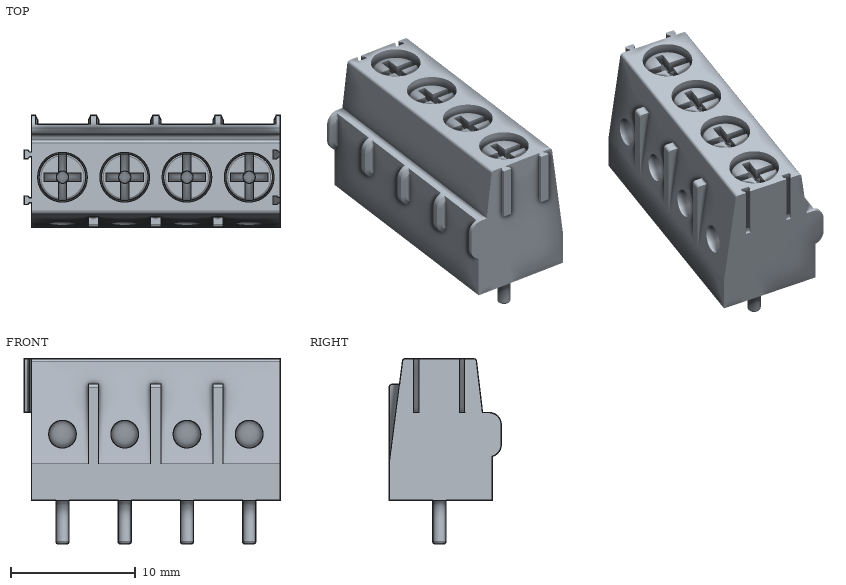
import cadquery as cq


terminal_count = 4
pitch = 5.0
body_length = terminal_count * pitch
body_depth = 8.29
body_height = 11.4
terminal_xs = [(i + 0.5) * pitch for i in range(terminal_count)]
terminal_y = 4.03
boundary_xs = [i * pitch for i in range(terminal_count + 1)]

front_slope_z = 2.96
front_lean = 1.1
shoulder_z = 7.08
shoulder_y = 7.5
top_rear_y = 7.0
top_edge_radius = 0.25

bulge_bottom_z = 3.5
bulge_radius = 1.0
tab_end_y = 9.0
tab_root_y = body_depth - 2 * bulge_radius
tab_width = 0.85
end_tab_width = 0.51
tab_bevel_side = 0.19
tab_bevel_depth = 0.4

rib_width = 0.82
rib_top_z = 9.34
rib_edge_radius = 0.25
rib_root_y = front_lean

wire_radius = 1.11
wire_z = 5.33
wire_floor_y = 1.32

well_radius = 2.0
well_depth = 2.0
head_radius = 1.87
head_edge_radius = 0.15
head_recess = 0.65
cross_width = 0.68
cross_depth = 1.0
cross_short_length = 2.98
cross_centre_radius = 0.5
cross_centre_drop = 0.1

dovetail_ys = (2.18, 5.86)
dovetail_reach = 0.58
dovetail_taper_start = 0.29
dovetail_neck = 0.15
dovetail_head_width = 0.72
dovetail_neck_width = 0.41
dovetail_bottom_z = shoulder_z

pin_radius = 0.53
pin_length = 3.5
pin_tip_radius = 0.2


def bulge(width, rear_y):
    """Bar from X = 0 to width whose rear edges are rounded, trimmed flat at rear_y."""
    bar = (
        cq.Workplane("XY")
        .box(width, tab_end_y - tab_root_y, shoulder_z - bulge_bottom_z, centered=False)
        .translate((0, tab_root_y, bulge_bottom_z))
        .edges("|X and >Y")
        .fillet(bulge_radius)
    )
    return bar.intersect(
        cq.Workplane("XY")
        .box(width, rear_y - tab_root_y, shoulder_z, centered=False)
        .translate((0, tab_root_y, 0))
    )


def housing():
    block = (
        cq.Workplane("YZ")
        .polyline([
            (0, 0),
            (body_depth, 0),
            (body_depth, bulge_bottom_z + bulge_radius),
            (shoulder_y, bulge_bottom_z + bulge_radius),
            (shoulder_y, shoulder_z),
            (top_rear_y, body_height),
            (front_lean, body_height),
            (0, front_slope_z),
        ])
        .close()
        .extrude(body_length)
        .edges("|X and >Z")
        .fillet(top_edge_radius)
    )
    return block.union(bulge(body_length, body_depth))


def half_tab(width):
    """Slice of the bulge from X = 0 to width, with its rear outline bevelled on the +X side."""
    bar = bulge(width, tab_end_y)
    outer_face = bar.faces(">X").val()
    rear_edges = [edge for edge in outer_face.Edges() if edge.Center().y > body_depth]
    return cq.Workplane(bar.val().chamfer(tab_bevel_side, tab_bevel_depth, rear_edges))


def rib(x_centre):
    return (
        cq.Workplane("XY")
        .box(rib_width, rib_root_y, rib_top_z, centered=False)
        .edges("|X and >Z and <Y")
        .fillet(rib_edge_radius)
        .translate((x_centre - rib_width / 2, 0, 0))
    )


def wire_entry(x_centre):
    return (
        cq.Workplane("XZ")
        .center(x_centre, wire_z)
        .circle(wire_radius)
        .extrude(-wire_floor_y)
    )


def screw_well(x_centre):
    """Material to remove above and around one screw head, including its cross slot."""
    head_z = body_height - head_recess
    well_floor = cq.Workplane("XY").workplane(offset=body_height - well_depth)
    slot_floor = cq.Workplane("XY").workplane(offset=head_z - cross_depth)
    centre_floor = slot_floor.workplane(offset=-cross_centre_drop)

    well = well_floor.circle(well_radius).extrude(well_depth)
    head = (
        well_floor.circle(head_radius)
        .extrude(well_depth - head_recess)
        .faces(">Z")
        .edges()
        .fillet(head_edge_radius)
    )
    long_slot = slot_floor.rect(cross_width, 2 * head_radius).extrude(cross_depth)
    short_slot = slot_floor.rect(cross_short_length, cross_width).extrude(cross_depth)
    centre = centre_floor.circle(cross_centre_radius).extrude(cross_depth + cross_centre_drop)
    head = head.cut(long_slot).cut(short_slot).cut(centre)
    return well.cut(head).translate((x_centre, terminal_y, 0))


def dovetail(y_centre, x_base):
    """Upright dovetail bar whose neck sits on the plane X = x_base and points toward -X."""
    head = dovetail_head_width / 2
    neck = dovetail_neck_width / 2
    return (
        cq.Workplane("XY")
        .workplane(offset=dovetail_bottom_z)
        .polyline([
            (0, -neck),
            (-dovetail_neck, -neck),
            (-dovetail_taper_start, -head),
            (-dovetail_reach, -head),
            (-dovetail_reach, head),
            (-dovetail_taper_start, head),
            (-dovetail_neck, neck),
            (0, neck),
        ])
        .close()
        .extrude(body_height - dovetail_bottom_z)
        .translate((x_base, y_centre, 0))
    )


def pin(x_centre):
    return (
        cq.Workplane("XY")
        .circle(pin_radius)
        .extrude(-pin_length)
        .faces("<Z")
        .edges()
        .fillet(pin_tip_radius)
        .translate((x_centre, terminal_y, 0))
    )


result = housing()

for x in boundary_xs[1:-1]:
    result = result.union(rib(x))

for x in boundary_xs[:-1]:
    width = end_tab_width if x == 0 else tab_width / 2
    result = result.union(half_tab(width).translate((x, 0, 0)))

for x in boundary_xs[1:]:
    width = end_tab_width if x == body_length else tab_width / 2
    result = result.union(half_tab(width).mirror("YZ").translate((x, 0, 0)))

for x in terminal_xs:
    result = result.cut(wire_entry(x))
    result = result.cut(screw_well(x))
    result = result.union(pin(x))

for y in dovetail_ys:
    result = result.union(dovetail(y, 0))
    result = result.cut(dovetail(y, body_length))